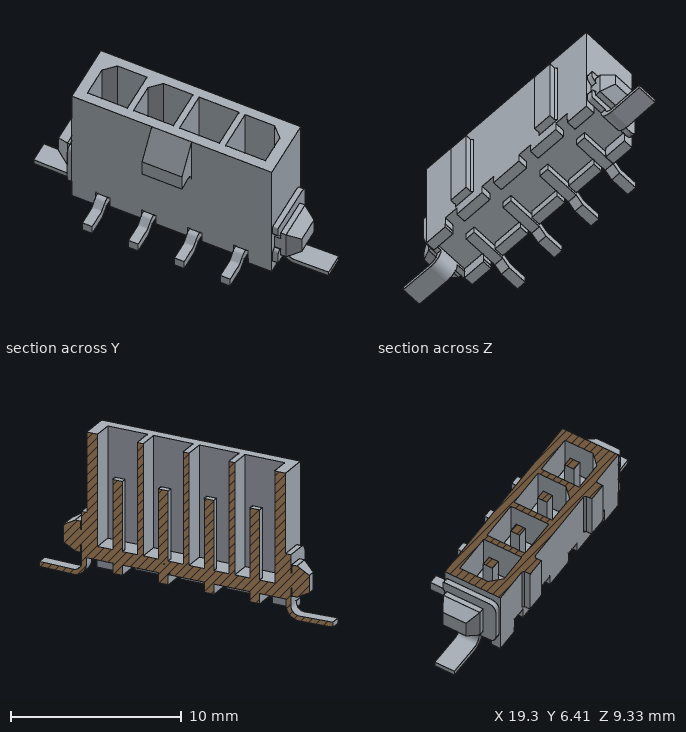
import cadquery as cq
import math

BODY_LENGTH = 13.05
BODY_DEPTH = 3.86
BODY_HEIGHT = 9.2
END_X = BODY_LENGTH / 2
BACK_Y = BODY_DEPTH / 2
FRONT_Y = -BACK_Y

CONTACT_COUNT = 4
PITCH = 3.0
CONTACT_X = [(i - (CONTACT_COUNT - 1) / 2) * PITCH for i in range(CONTACT_COUNT)]
CAVITY_SIZE = 2.6
CAVITY_FLOOR_Z = 2.0
CAVITY_CHAMFER = 0.68
CHAMFERED_BACK_LEFT = (0, 1)
CHAMFERED_BACK_RIGHT = (3,)

PIN_SIZE = 0.65
PIN_TOP_Z = 6.5
TAIL_REACH = 2.05
TAIL_TOP_Z = 1.1
TAIL_STRAIGHT = 0.27
TAIL_SLOPE_RUN = 0.55
TAIL_BEND_OFFSET = 0.13
UPPER_BEND_RADIUS = 0.4
LOWER_BEND_RADIUS = 0.25

WALL_THICKNESS = 0.65
UNDERSIDE_Z = TAIL_TOP_Z
STANDOFF = 0.34
STANDOFF_SPAN = 9.96
NOTCH_WIDTH = 0.93

LATCH_WIDTH = 2.6
LATCH_REACH = 1.28
LATCH_RAMP_BOTTOM_Z = 7.35
LATCH_TIP_Z = 6.23
LATCH_ROOT_Z = 6.32
LATCH_ROOT_RADIUS = 0.58

RIB_OFFSET_X = 3.415
RIB_WIDTH = 1.25
RIB_REACH = 0.5
RIB_FLARE = 0.12
RIB_BOTTOM_Z = 1.4
RIB_TOP_Z = 7.83

CLIP_THICKNESS = 0.35
CLIP_WIDTH = 3.64
CLIP_BOTTOM_Z = 0.81
CLIP_TOP_Z = 4.04
CLIP_FRONT_RADIUS = 0.5
CLIP_BACK_RADIUS = 0.12
CLIP_OUTER_X = END_X + CLIP_THICKNESS
SLOT_BOTTOM_Z = 1.87
SLOT_TOP_Z = 2.87
SLOT_FRONT_Y = -0.3
SLOT_LEAD_IN = 0.51
SLOT_LOWER_LIP_RADIUS = 0.3
SLOT_UPPER_LIP_RADIUS = 0.25
FOOT_WIDTH = 1.36
FOOT_END_X = 9.625
FOOT_END_Z = -0.08
FOOT_BOTTOM_Z = -0.13
FOOT_BEND_RADIUS = 0.53

PEG_CENTER_Y = 0.29
PEG_WIDTH = 2.52
PEG_BOTTOM_Z = 1.37
PEG_TOP_Z = 3.4
PEG_BASE_X = CLIP_OUTER_X + 0.05
PEG_TAPER_X = 7.27
PEG_TIP_X = 8.08
PEG_TAPER_INSET = 0.45


def box(x_range, y_range, z_range):
    """Axis-aligned block between the given limits."""
    limits = (x_range, y_range, z_range)
    size = [high - low for low, high in limits]
    return cq.Workplane("XY").box(*size, centered=False).translate([low for low, _ in limits])


def centered_range(center, width):
    return (center - width / 2, center + width / 2)


def cavity(index):
    """Contact cavity, with one back corner chamfered as a key where the pattern calls for it."""
    x_range = centered_range(CONTACT_X[index], CAVITY_SIZE)
    y_range = centered_range(0, CAVITY_SIZE)
    shape = box(x_range, y_range, (CAVITY_FLOOR_Z, BODY_HEIGHT))
    if index in CHAMFERED_BACK_LEFT:
        shape = shape.edges("|Z and <X and >Y").chamfer(CAVITY_CHAMFER)
    if index in CHAMFERED_BACK_RIGHT:
        shape = shape.edges("|Z and >X and >Y").chamfer(CAVITY_CHAMFER)
    return shape


def housing():
    """Block with contact cavities above and a channelled, notched underside."""
    across_x = (-END_X, END_X)
    across_y = (FRONT_Y, BACK_Y)
    body = box(across_x, across_y, (0, BODY_HEIGHT))
    for index in range(CONTACT_COUNT):
        body = body.cut(cavity(index))

    channel_y = (FRONT_Y + WALL_THICKNESS, BACK_Y - WALL_THICKNESS)
    body = body.cut(box(across_x, channel_y, (0, UNDERSIDE_Z)))
    body = body.cut(box(centered_range(0, STANDOFF_SPAN), across_y, (0, STANDOFF)))
    for x in CONTACT_X:
        body = body.cut(box(centered_range(x, NOTCH_WIDTH), across_y, (0, UNDERSIDE_Z)))
    return body


def contact(x):
    """Square pin standing in a cavity, with a bent solder tail leaving at the front."""
    pin_y = centered_range(0, PIN_SIZE)
    pin = box(centered_range(x, PIN_SIZE), pin_y, (TAIL_TOP_Z - PIN_SIZE, PIN_TOP_Z))

    tail_end_y = FRONT_Y - TAIL_REACH
    upper_bend_y = FRONT_Y - TAIL_STRAIGHT
    lower_bend_y = upper_bend_y - TAIL_SLOPE_RUN
    tail = (
        cq.Workplane("YZ", origin=(x - PIN_SIZE / 2, 0, 0))
        .moveTo(pin_y[1], TAIL_TOP_Z)
        .lineTo(upper_bend_y, TAIL_TOP_Z)
        .lineTo(lower_bend_y, PIN_SIZE)
        .lineTo(tail_end_y, PIN_SIZE)
        .lineTo(tail_end_y, 0)
        .lineTo(lower_bend_y + TAIL_BEND_OFFSET, 0)
        .lineTo(upper_bend_y + TAIL_BEND_OFFSET, TAIL_TOP_Z - PIN_SIZE)
        .lineTo(pin_y[1], TAIL_TOP_Z - PIN_SIZE)
        .close()
        .extrude(PIN_SIZE)
    )
    upper_bend = cq.selectors.NearestToPointSelector((x, upper_bend_y, TAIL_TOP_Z))
    lower_bend = cq.selectors.NearestToPointSelector((x, lower_bend_y, PIN_SIZE))
    tail = tail.edges(upper_bend).fillet(UPPER_BEND_RADIUS)
    tail = tail.edges(lower_bend).fillet(LOWER_BEND_RADIUS)
    return pin.union(tail)


def latch():
    """Ramp from the top edge to an undercut catch with a rounded root."""
    tip_y = FRONT_Y - LATCH_REACH
    round_center_y = FRONT_Y - LATCH_ROOT_RADIUS
    round_center_z = LATCH_ROOT_Z - LATCH_ROOT_RADIUS
    round_middle = LATCH_ROOT_RADIUS * math.sqrt(0.5)
    return (
        cq.Workplane("YZ", origin=(-LATCH_WIDTH / 2, 0, 0))
        .moveTo(FRONT_Y, BODY_HEIGHT)
        .lineTo(tip_y, LATCH_RAMP_BOTTOM_Z)
        .lineTo(tip_y, LATCH_TIP_Z)
        .lineTo(round_center_y, LATCH_ROOT_Z)
        .threePointArc(
            (round_center_y + round_middle, round_center_z + round_middle),
            (FRONT_Y, round_center_z),
        )
        .close()
        .extrude(LATCH_WIDTH)
    )


def rib(x):
    """Upright back rib, flared where it meets the wall."""
    half_width = RIB_WIDTH / 2
    return (
        cq.Workplane("XY", origin=(x, BACK_Y, RIB_BOTTOM_Z))
        .moveTo(-half_width - RIB_FLARE, 0)
        .lineTo(-half_width, RIB_FLARE)
        .lineTo(-half_width, RIB_REACH)
        .lineTo(half_width, RIB_REACH)
        .lineTo(half_width, RIB_FLARE)
        .lineTo(half_width + RIB_FLARE, 0)
        .close()
        .extrude(RIB_TOP_Z - RIB_BOTTOM_Z)
    )


def clip_foot():
    """Solder foot that bends outward from the bottom of the clip on the -X end."""
    inner_radius = FOOT_BEND_RADIUS
    outer_radius = inner_radius + CLIP_THICKNESS
    bend_x = -CLIP_OUTER_X - inner_radius
    bend_z = FOOT_BOTTOM_Z + outer_radius
    diagonal = math.sqrt(0.5)
    return (
        cq.Workplane("XZ", origin=(0, FOOT_WIDTH / 2, 0))
        .moveTo(-END_X, CLIP_BOTTOM_Z)
        .lineTo(-END_X, bend_z)
        .threePointArc(
            (bend_x + outer_radius * diagonal, bend_z - outer_radius * diagonal),
            (bend_x, FOOT_BOTTOM_Z),
        )
        .lineTo(-FOOT_END_X, FOOT_END_Z)
        .lineTo(-FOOT_END_X, FOOT_END_Z + CLIP_THICKNESS)
        .lineTo(bend_x, bend_z - inner_radius)
        .threePointArc(
            (bend_x + inner_radius * diagonal, bend_z - inner_radius * diagonal),
            (-CLIP_OUTER_X, bend_z),
        )
        .lineTo(-CLIP_OUTER_X, CLIP_BOTTOM_Z)
        .close()
        .extrude(FOOT_WIDTH)
    )


def clip():
    """Solder clip on the -X end: rounded plate, slot open to the back, and foot."""
    plate_x = (-CLIP_OUTER_X, -END_X)
    plate_back_y = CLIP_WIDTH / 2
    plate = box(plate_x, centered_range(0, CLIP_WIDTH), (CLIP_BOTTOM_Z, CLIP_TOP_Z))
    plate = plate.edges("|X and <Y").fillet(CLIP_FRONT_RADIUS)
    plate = plate.edges("|X and >Y").fillet(CLIP_BACK_RADIUS)

    slot = (
        cq.Workplane("YZ", origin=(plate_x[0], 0, 0))
        .moveTo(SLOT_FRONT_Y, SLOT_BOTTOM_Z)
        .lineTo(plate_back_y, SLOT_BOTTOM_Z)
        .lineTo(plate_back_y, SLOT_TOP_Z + SLOT_LEAD_IN)
        .lineTo(plate_back_y - SLOT_LEAD_IN, SLOT_TOP_Z)
        .lineTo(SLOT_FRONT_Y, SLOT_TOP_Z)
        .close()
        .extrude(CLIP_THICKNESS)
    )
    plate = plate.cut(slot)
    plate_mid_x = -END_X - CLIP_THICKNESS / 2
    lower_lip = cq.selectors.NearestToPointSelector((plate_mid_x, plate_back_y, SLOT_BOTTOM_Z))
    upper_lip = cq.selectors.NearestToPointSelector(
        (plate_mid_x, plate_back_y, SLOT_TOP_Z + SLOT_LEAD_IN)
    )
    plate = plate.edges(lower_lip).fillet(SLOT_LOWER_LIP_RADIUS)
    plate = plate.edges(upper_lip).fillet(SLOT_UPPER_LIP_RADIUS)
    return plate.union(clip_foot())


def peg():
    """Peg on the -X end: neck through the clip slot, then a head tapering outward."""
    width_range = centered_range(PEG_CENTER_Y, PEG_WIDTH)
    height = PEG_TOP_Z - PEG_BOTTOM_Z
    center_z = PEG_BOTTOM_Z + height / 2
    neck = box(
        (-PEG_BASE_X, -END_X),
        (SLOT_FRONT_Y, width_range[1]),
        (SLOT_BOTTOM_Z, SLOT_TOP_Z),
    )
    base = box((-PEG_TAPER_X, -PEG_BASE_X), width_range, (PEG_BOTTOM_Z, PEG_TOP_Z))
    tip = (
        cq.Workplane("YZ", origin=(-PEG_TAPER_X, PEG_CENTER_Y, center_z))
        .rect(PEG_WIDTH, height)
        .workplane(offset=PEG_TAPER_X - PEG_TIP_X)
        .rect(PEG_WIDTH - 2 * PEG_TAPER_INSET, height - 2 * PEG_TAPER_INSET)
        .loft(combine=True)
    )
    return neck.union(base).union(tip)


result = housing().union(latch())
for pin_x in CONTACT_X:
    result = result.union(contact(pin_x))
for rib_x in (-RIB_OFFSET_X, RIB_OFFSET_X):
    result = result.union(rib(rib_x))

end_fitting = clip().union(peg())
for turn in (0, 180):
    result = result.union(end_fitting.rotate((0, 0, 0), (0, 0, 1), turn))